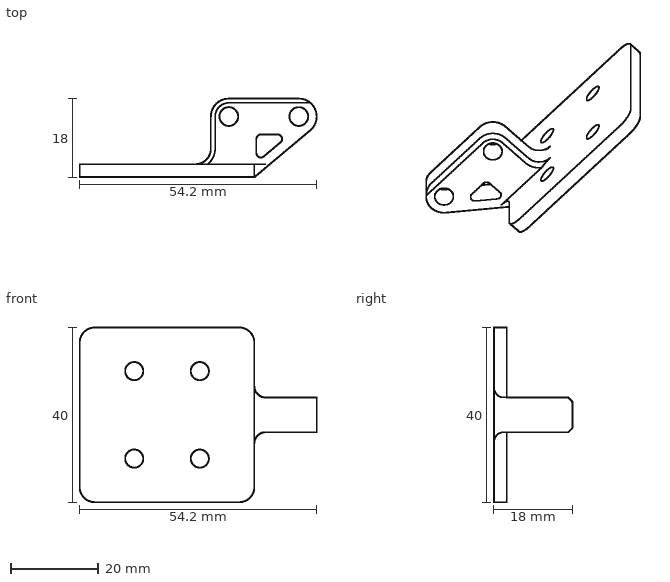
import cadquery as cq
import math

plate_side = 40.0
plate_thickness = 3.0
plate_corner_radius = 3.5
plate_hole_diameter = 4.1
plate_hole_pitch_x = 15.0
plate_hole_pitch_z = 20.0

lug_width = 8.0
lug_height = 18.0
lug_right_x = 54.25
lug_chamfer = 1.0
lug_foot_radius = 3.5
web_flare_radius = 2.5

pin_hole_diameter = 4.25
pin_hole_pitch = 16.0
pin_wall = 2.0

window_left_x = 40.45
window_top_y = 9.75
window_wall = 2.3
window_corner_radius = 1.0

plate_hole_centre_x = plate_side / 2
lug_round_radius = pin_hole_diameter / 2 + pin_wall
pin_outer_x = lug_right_x - lug_round_radius
pin_y = lug_height - lug_round_radius
pin_inner_x = pin_outer_x - pin_hole_pitch
lug_left_x = pin_inner_x - lug_round_radius
foot_start_x = lug_left_x - lug_foot_radius

pin_run = pin_outer_x - plate_side
pin_distance = math.hypot(pin_run, pin_y)
slant_angle = math.atan2(pin_y, pin_run) - math.asin(lug_round_radius / pin_distance)


def arc_point(centre_x, centre_y, radius, angle):
    return (centre_x + radius * math.cos(angle), centre_y + radius * math.sin(angle))


def prism(outline, width):
    """Extrude an XY outline symmetrically about Z = 0."""
    return outline.extrude(width / 2, both=True)


def make_plate():
    plate = cq.Workplane("XY").box(
        plate_side, plate_thickness, plate_side, centered=(False, False, True)
    )
    return plate.edges("|Y").fillet(plate_corner_radius)


def make_lug():
    """Square-ended lug, chamfered along its foot, left side and top."""
    diagonal = math.radians(45)
    foot_centre_y = plate_thickness + lug_foot_radius
    outline = (
        cq.Workplane("XY")
        .moveTo(foot_start_x, 0)
        .lineTo(foot_start_x, plate_thickness)
        .threePointArc(
            arc_point(foot_start_x, foot_centre_y, lug_foot_radius, -diagonal),
            (lug_left_x, foot_centre_y),
        )
        .lineTo(lug_left_x, pin_y)
        .threePointArc(
            arc_point(pin_inner_x, pin_y, lug_round_radius, math.pi - diagonal),
            (pin_inner_x, lug_height),
        )
        .lineTo(lug_right_x, lug_height)
        .lineTo(lug_right_x, 0)
        .close()
    )
    lug = prism(outline, lug_width)
    top_edges = lug.faces(">Y").edges("|X")
    return top_edges.chamfer(lug_chamfer)


def make_flare():
    """Concave flares blending the lug's sides into the plate's edge."""
    half_width = lug_width / 2
    flare_end_x = plate_side + web_flare_radius
    flare_half_width = half_width + web_flare_radius
    block = cq.Workplane("XY").box(
        web_flare_radius, plate_thickness, 2 * flare_half_width, centered=(False, False, True)
    ).translate((plate_side, 0, 0))
    for side in (-1, 1):
        scoop = (
            cq.Workplane("XZ", origin=(flare_end_x, 0, side * flare_half_width))
            .circle(web_flare_radius)
            .extrude(-plate_thickness)
        )
        block = block.cut(scoop)
    return block


def make_envelope():
    """Prism bounded by the slanted edge and the lug's rounded outer end."""
    tangent_angle = slant_angle - math.pi / 2
    middle_angle = (tangent_angle + math.pi / 2) / 2
    outline = (
        cq.Workplane("XY")
        .lineTo(plate_side, 0)
        .lineTo(*arc_point(pin_outer_x, pin_y, lug_round_radius, tangent_angle))
        .threePointArc(
            arc_point(pin_outer_x, pin_y, lug_round_radius, middle_angle),
            (pin_outer_x, lug_height),
        )
        .lineTo(0, lug_height)
        .close()
    )
    return prism(outline, plate_side)


def make_plate_holes():
    return (
        cq.Workplane("XZ", origin=(plate_hole_centre_x, 0, 0))
        .rarray(plate_hole_pitch_x, plate_hole_pitch_z, 2, 2)
        .circle(plate_hole_diameter / 2)
        .extrude(-plate_thickness)
    )


def make_pin_holes():
    centres = [(pin_inner_x, pin_y), (pin_outer_x, pin_y)]
    return prism(cq.Workplane("XY").pushPoints(centres).circle(pin_hole_diameter / 2), lug_width)


def make_window():
    """Triangle whose long side runs parallel to the slanted edge, one wall away."""
    slope = math.tan(slant_angle)
    wall_rise = window_wall / math.cos(slant_angle)
    bottom_y = (window_left_x - plate_side) * slope + wall_rise
    right_x = plate_side + (window_top_y - wall_rise) / slope
    outline = cq.Workplane("XY").polyline(
        [(window_left_x, bottom_y), (right_x, window_top_y), (window_left_x, window_top_y)]
    ).close()
    return prism(outline, lug_width).edges("|Z").fillet(window_corner_radius)


body = make_plate().union(make_lug()).union(make_flare()).intersect(make_envelope())
result = body.cut(make_plate_holes()).cut(make_pin_holes()).cut(make_window())